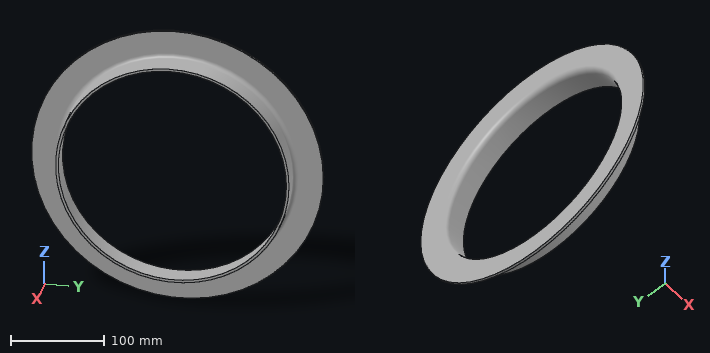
import cadquery as cq

flange_diameter = 320.0
bore_diameter = 250.0
tube_diameter = 256.0
length = 30.0
inner_bend_radius = 7.0
outer_bend_radius = 5.0

flange_radius = flange_diameter / 2
bore_radius = bore_diameter / 2
tube_radius = tube_diameter / 2
wall = tube_radius - bore_radius

section = (
    cq.Workplane("XY")
    .moveTo(0, flange_radius)
    .lineTo(0, bore_radius + inner_bend_radius)
    .radiusArc((inner_bend_radius, bore_radius), -inner_bend_radius)
    .lineTo(length, bore_radius)
    .lineTo(length, tube_radius)
    .lineTo(wall + outer_bend_radius, tube_radius)
    .radiusArc((wall, tube_radius + outer_bend_radius), outer_bend_radius)
    .lineTo(wall, flange_radius)
    .close()
)

result = section.revolve(360, (0, 0, 0), (1, 0, 0))